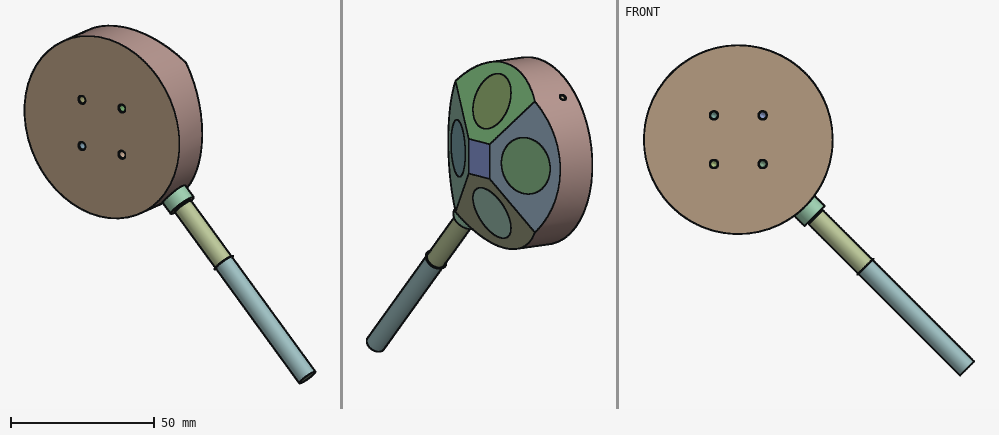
import cadquery as cq
import math

housing_radius = 33.0
housing_depth = 24.84
rim_depth = 14.0
slope_angle = 22.0
slope_rise = housing_depth - rim_depth
slope_run = slope_rise / math.tan(math.radians(slope_angle))
slope_angles = [0, 90, 180, 270]

mount_pitch = 17.0
mount_hole_diameter = 2.53
mount_mouth_diameter = 3.09
mount_mouth_depth = (mount_mouth_diameter - mount_hole_diameter) / 2
mount_hole_depth = 6.0
drill_point_angle = 118.0
drill_point_depth = mount_hole_diameter / 2 / math.tan(math.radians(drill_point_angle / 2))

dimple_y = 5.75
dimple_floor_diameter = 1.71
dimple_mouth_diameter = 2.53
dimple_depth = 0.15

disc_diameter = 20.0
disc_thickness = 2.0
disc_center_y = 19.3
disc_center_x = housing_radius - (disc_center_y - rim_depth) * slope_run / slope_rise

cable_axis_y = 10.82
gland_diameter = 10.0
gland_start = 28.0
gland_end = 37.7
cable_diameter = 7.0
collar_diameter = 8.0
collar_width = 0.1
neck_diameter = 6.8
neck_end = 38.25
sleeve_end = 62.8
cable_end = 113.0

cable_direction = cq.Vector(1, 0, -1).normalized()


def rod(diameter, start, end):
    """Round rod along the cable axis, between two distances from the housing axis."""
    base = cable_direction * start + cq.Vector(0, cable_axis_y, 0)
    return cq.Workplane(obj=cq.Solid.makeCylinder(diameter / 2, end - start, base, cable_direction))


def make_slope_cutter():
    """Wedge that cuts the slope on the +X side of the housing."""
    edge = housing_radius
    outline = [(edge, rim_depth), (edge - slope_run, housing_depth), (edge, housing_depth)]
    return cq.Workplane("XY").polyline(outline).close().extrude(housing_radius, both=True)


def make_mount_hole():
    """Revolved hole on the Y axis, opening at Y = 0."""
    hole_radius = mount_hole_diameter / 2
    return (
        cq.Workplane("XY")
        .lineTo(mount_mouth_diameter / 2, 0)
        .lineTo(hole_radius, mount_mouth_depth)
        .lineTo(hole_radius, mount_hole_depth)
        .lineTo(0, mount_hole_depth + drill_point_depth)
        .close()
        .revolve(360, (0, 0, 0), (0, 1, 0))
    )


def make_dimple():
    """Cone that narrows into the rim from the side away from the cable."""
    mouth = cq.Vector(0, dimple_y, 0) - cable_direction * housing_radius
    cone = cq.Solid.makeCone(
        dimple_mouth_diameter / 2, dimple_floor_diameter / 2, dimple_depth, mouth, cable_direction
    )
    return cq.Workplane(obj=cone)


def make_disc(angle):
    """Sensor disc, flush with the slope at the given angle about the housing axis."""
    tilt = math.radians(slope_angle)
    normal = cq.Vector(math.sin(tilt), math.cos(tilt), 0)
    base = cq.Vector(disc_center_x, disc_center_y, 0) - normal * disc_thickness
    disc = cq.Solid.makeCylinder(disc_diameter / 2, disc_thickness, base, normal)
    return cq.Workplane(obj=disc).rotate((0, 0, 0), (0, 1, 0), angle)


discs = [make_disc(angle) for angle in slope_angles]

gland = rod(gland_diameter, gland_start, gland_end)

neck = rod(neck_diameter, gland_end, neck_end)
collar = rod(collar_diameter, sleeve_end - collar_width, sleeve_end)
sleeve = rod(cable_diameter, neck_end, sleeve_end).union(neck).union(collar)

cable = rod(cable_diameter, sleeve_end, cable_end)

housing = cq.Workplane("XZ").circle(housing_radius).extrude(-housing_depth)
slope_cutter = make_slope_cutter()
for angle in slope_angles:
    housing = housing.cut(slope_cutter.rotate((0, 0, 0), (0, 1, 0), angle))
mount_hole = make_mount_hole()
for x in (-mount_pitch / 2, mount_pitch / 2):
    for z in (-mount_pitch / 2, mount_pitch / 2):
        housing = housing.cut(mount_hole.translate((x, 0, z)))
housing = housing.cut(make_dimple())
for disc in discs:
    housing = housing.cut(disc)
housing = housing.cut(gland)

result = cq.Compound.makeCompound(
    [
        housing.val(),
        *[disc.val() for disc in discs],
        gland.val(),
        sleeve.val(),
        cable.val(),
    ]
)